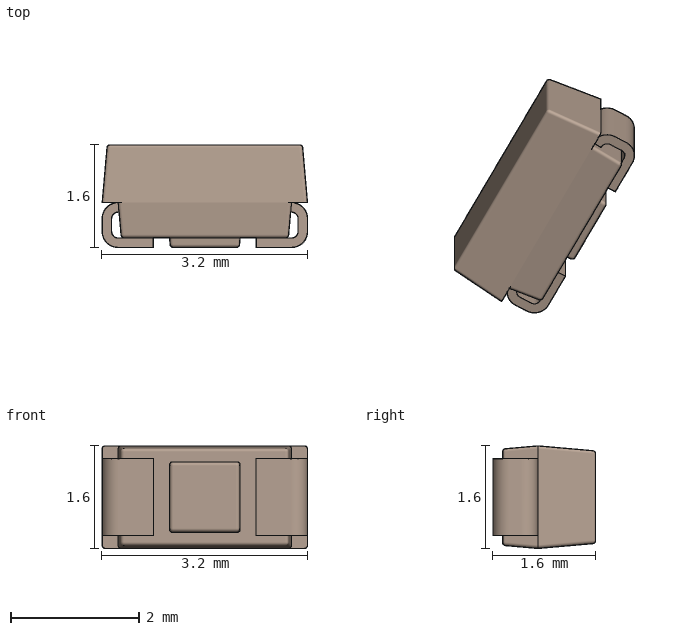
import cadquery as cq

LENGTH = 3.2
DEPTH = 1.6
HEIGHT = 1.6

DRAFT_ANGLE = 5.0
EDGE_RADIUS = 0.05
FRONT_BLOCK_LENGTH = 2.7
REAR_BLOCK_DEPTH = 0.9
PAD_SIZE = 1.1

LEAD_THICKNESS = 0.15
LEAD_HEIGHT = 1.2
LEAD_INNER_RADIUS = 0.1
LEAD_OUTER_RADIUS = LEAD_INNER_RADIUS + LEAD_THICKNESS
FOOT_LENGTH = 0.8

REAR_Y = DEPTH / 2
MOUNTING_Y = -DEPTH / 2
PARTING_Y = REAR_Y - REAR_BLOCK_DEPTH
FRONT_BLOCK_Y = MOUNTING_Y + LEAD_THICKNESS


def drafted_block(length, height, start_y, end_y):
    """Block narrowing from start_y to end_y, rounded everywhere but at its wide face."""
    direction = 1 if end_y > start_y else -1
    base = cq.Plane(origin=(0, start_y, 0), xDir=(1, 0, 0), normal=(0, direction, 0))
    wide_face = "<Y" if direction > 0 else ">Y"
    block = cq.Workplane(base).rect(length, height)
    block = block.extrude(abs(end_y - start_y), taper=DRAFT_ANGLE)
    return block.edges(f"not {wide_face}").fillet(EDGE_RADIUS)


def make_housing():
    """Rear and front blocks meeting at the parting plane, with a square pad in front."""
    rear_block = drafted_block(LENGTH, HEIGHT, PARTING_Y, REAR_Y)
    front_block = drafted_block(FRONT_BLOCK_LENGTH, HEIGHT, PARTING_Y, FRONT_BLOCK_Y)
    pad = drafted_block(PAD_SIZE, PAD_SIZE, FRONT_BLOCK_Y, MOUNTING_Y)
    return rear_block.union(front_block).union(pad)


def lead_section(start_x, inset, radius):
    """Rectangle in X and Y with rounded vertical edges, inset from the loop outside."""
    size_x = 2 * FOOT_LENGTH - 2 * inset
    size_y = PARTING_Y - MOUNTING_Y - 2 * inset
    return (
        cq.Workplane("XY")
        .box(size_x, size_y, LEAD_HEIGHT, centered=(False, True, True))
        .translate((start_x + inset, (PARTING_Y + MOUNTING_Y) / 2, 0))
        .edges("|Z")
        .fillet(radius)
    )


def make_lead(side, housing):
    """C-shaped strip from the front block's end wall to a foot on its front face."""
    outer_x = -LENGTH / 2
    outside = lead_section(outer_x, 0, LEAD_OUTER_RADIUS)
    inside = lead_section(outer_x, LEAD_THICKNESS, LEAD_INNER_RADIUS)
    reach = cq.Workplane("XY").box(
        FOOT_LENGTH, DEPTH, HEIGHT, centered=(False, True, True)
    ).translate((outer_x, 0, 0))
    lead = outside.cut(inside).intersect(reach)
    if side > 0:
        lead = lead.mirror("YZ")
    trimmed = lead.cut(housing)
    return trimmed.solids("<X" if side < 0 else ">X")


housing = make_housing()
leads = [make_lead(side, housing) for side in (-1, 1)]

result = cq.Compound.makeCompound([housing.val(), *[lead.val() for lead in leads]])